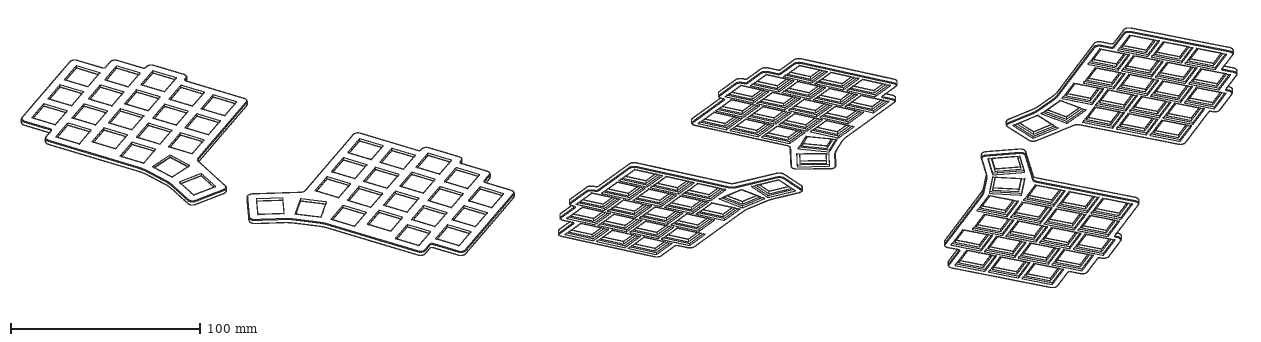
import cadquery as cq
import math

total_width = 263.0
plate_depth = 99.98
plate_thickness = 2.8

key_pitch = 19.05
switch_opening = 13.9
rim_margin = key_pitch / 8
half_cell = key_pitch / 2 + rim_margin
corner_radius = 3.0
notch_radius = 0.8
bend_radius = 20.0
edge_chamfer = 0.4

lip_thickness = 1.6
recess_size = 17.0

column_rows = [3, 4, 4, 4, 3]
column_shifts = [-key_pitch / 2, 0, key_pitch / 4, 0, 0]

tab_column = 2

first_column_x = -total_width / 2 + half_cell
first_row_y = plate_depth / 2 - half_cell - max(column_shifts)
last_column_x = first_column_x + key_pitch * (len(column_rows) - 1)
last_row_y = first_row_y - key_pitch * (max(column_rows) - 1)

inner_thumb_angle = -15.0
outer_thumb_angle = -30.0
inner_thumb_x_offset = 2.05
inner_thumb_y_offset = 2.8
inner_thumb = (last_column_x + inner_thumb_x_offset, last_row_y - inner_thumb_y_offset)

corner_distance = math.sqrt(2) * (half_cell - corner_radius)
rotated_reach = corner_distance * math.sin(math.radians(45 - outer_thumb_angle)) + corner_radius
outer_thumb_x_offset = 21.8
outer_thumb = (last_column_x + outer_thumb_x_offset, -plate_depth / 2 + rotated_reach)


def key_centres():
    """Centres of the upright keys."""
    centres = []
    for column, (rows, shift) in enumerate(zip(column_rows, column_shifts)):
        for row in range(rows):
            x = first_column_x + column * key_pitch
            y = first_row_y + shift - row * key_pitch
            centres.append((x, y))
    return centres


def turned(centre, angle, x, y):
    """Point given in the turned axes of a key, as plate coordinates."""
    turn = math.radians(angle)
    return (
        centre[0] + x * math.cos(turn) - y * math.sin(turn),
        centre[1] + x * math.sin(turn) + y * math.cos(turn),
    )


def crossing_at_x(centre, angle, side, x):
    """Point at a given X on the upper (side = 1) or lower (side = -1) edge line of a turned key cell."""
    start = turned(centre, angle, 0, side * half_cell)
    return (x, start[1] + (x - start[0]) * math.tan(math.radians(angle)))


def crossing_at_y(centre, angle, side, y):
    """Point at a given Y on the upper or lower edge line of a turned key cell."""
    start = turned(centre, angle, 0, side * half_cell)
    return (start[0] + (y - start[1]) / math.tan(math.radians(angle)), y)


def lower_thumb_bend():
    """Point where the lower edge lines of the two thumb cells cross."""
    inner_slope = math.tan(math.radians(inner_thumb_angle))
    outer_slope = math.tan(math.radians(outer_thumb_angle))
    inner_height = crossing_at_x(inner_thumb, inner_thumb_angle, -1, 0)[1]
    outer_height = crossing_at_x(outer_thumb, outer_thumb_angle, -1, 0)[1]
    x = (outer_height - inner_height) / (inner_slope - outer_slope)
    return (x, inner_height + inner_slope * x)


def plate_outline():
    """Outline corners, clockwise from the outer front corner, each with its rounding radius."""
    left = first_column_x - half_cell
    step = first_column_x + key_pitch - half_cell
    tab_left = first_column_x + tab_column * key_pitch - half_cell
    tab_right = first_column_x + tab_column * key_pitch + half_cell
    right = last_column_x + half_cell
    back = first_row_y + half_cell
    tab_back = back + column_shifts[tab_column]
    outer_back = back + column_shifts[0]
    outer_front = outer_back - 2 * half_cell - key_pitch * (column_rows[0] - 1)
    front = last_row_y - half_cell
    return [
        ((left, outer_front), corner_radius),
        ((left, outer_back), corner_radius),
        ((step, outer_back), notch_radius),
        ((step, back), corner_radius),
        ((tab_left, back), notch_radius),
        ((tab_left, tab_back), corner_radius),
        ((tab_right, tab_back), corner_radius),
        ((tab_right, back), notch_radius),
        ((right, back), corner_radius),
        (crossing_at_x(outer_thumb, outer_thumb_angle, 1, right), corner_radius),
        (turned(outer_thumb, outer_thumb_angle, half_cell, half_cell), corner_radius),
        (turned(outer_thumb, outer_thumb_angle, half_cell, -half_cell), corner_radius),
        (lower_thumb_bend(), bend_radius),
        (crossing_at_y(inner_thumb, inner_thumb_angle, -1, front), bend_radius),
        ((step, front), corner_radius),
        ((step, outer_front), notch_radius),
    ]


def blank_plate():
    """Plate body without switch openings."""
    outline = plate_outline()
    plate = cq.Workplane("XY").polyline([point for point, _ in outline]).close().extrude(plate_thickness)
    for (x, y), radius in outline:
        corner_edge = plate.edges(cq.NearestToPointSelector((x, y, plate_thickness / 2)))
        plate = corner_edge.fillet(radius)
    return plate.faces("|Z").edges().chamfer(edge_chamfer)


def switch_cutter(centre, angle):
    """Cutter for one key switch: square opening with a wider recess on the underside."""
    opening = cq.Workplane("XY").rect(switch_opening, switch_opening).extrude(plate_thickness)
    recess = cq.Workplane("XY").rect(recess_size, recess_size).extrude(plate_thickness - lip_thickness)
    cutter = opening.union(recess)
    return cutter.rotate((0, 0, 0), (0, 0, 1), angle).translate((*centre, 0))


def left_key_plate():
    """Key plate for the left hand."""
    keys = [(centre, 0.0) for centre in key_centres()]
    keys.append((inner_thumb, inner_thumb_angle))
    keys.append((outer_thumb, outer_thumb_angle))
    plate = blank_plate()
    for centre, angle in keys:
        plate = plate.cut(switch_cutter(centre, angle))
    return plate


left_plate = left_key_plate()
right_plate = left_plate.mirror("YZ")

result = cq.Compound.makeCompound([left_plate.val(), right_plate.val()])